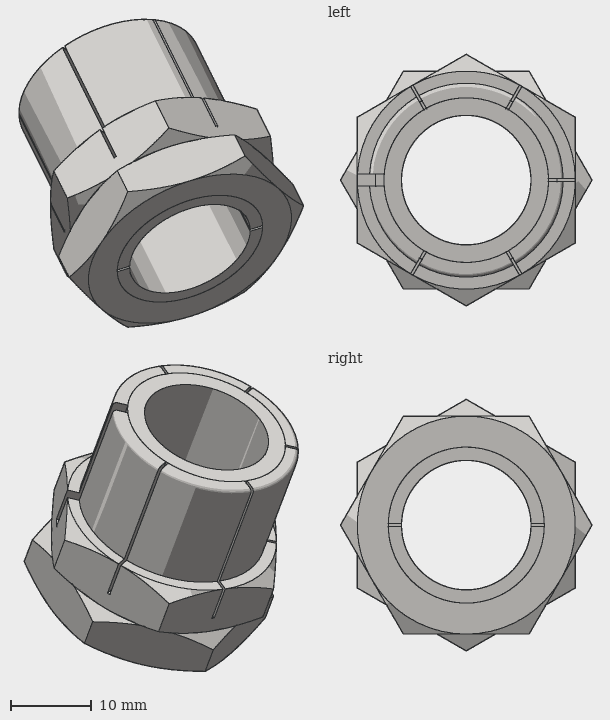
import cadquery as cq
import math

TOTAL_LENGTH = 28.0
BARREL_LENGTH = 15.0
NUT_WIDTH = 6.0
COLLAR_END = TOTAL_LENGTH - NUT_WIDTH

HEX_SIDES = 6
HEX_CORNER_RADIUS = 15.6
HEX_FLAT_RADIUS = HEX_CORNER_RADIUS * math.cos(math.pi / HEX_SIDES)
HEX_CHAMFER_ANGLE = 30.0
HEX_CHAMFER_DEPTH = (HEX_CORNER_RADIUS - HEX_FLAT_RADIUS) * math.tan(math.radians(HEX_CHAMFER_ANGLE))
COLLAR_CORNER_ANGLE = 90.0
NUT_CORNER_ANGLE = 0.0

BARREL_RADIUS = 12.0
BARREL_FILLET = 0.5
SLIT_COUNT = 6
SLIT_WIDTH = 0.35
KEYWAY_WIDTH = 1.5
SLIT_END = 19.8

HUB_RADIUS = 11.25
HUB_START = 17.62

BORE_RADIUS = 8.0
TAPER_FRONT_RADIUS = 10.2
NECK_RADIUS = 9.67
RING_SLIT_START = 13.22


def revolve_about_x(profile):
    """Turn a closed outline of (x, radius) points around the X axis."""
    return cq.Workplane("XY").polyline(profile).close().revolve(360, (0, 0, 0), (1, 0, 0))


def chamfered_hex(start, end, first_corner_angle):
    """Hexagonal prism along X with its corners turned down to the flats at both ends."""
    corners = []
    for i in range(HEX_SIDES):
        angle = math.radians(first_corner_angle + 360 / HEX_SIDES * i)
        corners.append((HEX_CORNER_RADIUS * math.cos(angle), HEX_CORNER_RADIUS * math.sin(angle)))
    prism = cq.Workplane("YZ", origin=(start, 0, 0)).polyline(corners).close().extrude(end - start)
    turned = revolve_about_x([
        (start, 0),
        (start, HEX_FLAT_RADIUS),
        (start + HEX_CHAMFER_DEPTH, HEX_CORNER_RADIUS),
        (end - HEX_CHAMFER_DEPTH, HEX_CORNER_RADIUS),
        (end, HEX_FLAT_RADIUS),
        (end, 0),
    ])
    return prism.intersect(turned)


def radial_slot(width, angle):
    """Cutter from the axis outward, open at the barrel end, at an angle from +Y towards +Z."""
    slot = cq.Workplane("XY").box(SLIT_END, HEX_CORNER_RADIUS, width, centered=(False, False, True))
    return slot.rotate((0, 0, 0), (1, 0, 0), angle)


def make_sleeve():
    barrel = cq.Workplane("YZ").circle(BARREL_RADIUS).extrude(BARREL_LENGTH)
    barrel = barrel.faces("<X").edges().fillet(BARREL_FILLET)
    sleeve = barrel.union(chamfered_hex(BARREL_LENGTH, COLLAR_END, COLLAR_CORNER_ANGLE))
    bore = revolve_about_x([
        (0, 0),
        (0, TAPER_FRONT_RADIUS),
        (HUB_START, NECK_RADIUS),
        (HUB_START, HUB_RADIUS),
        (COLLAR_END, HUB_RADIUS),
        (COLLAR_END, 0),
    ])
    sleeve = sleeve.cut(bore)
    for i in range(SLIT_COUNT):
        width = KEYWAY_WIDTH if i == 0 else SLIT_WIDTH
        sleeve = sleeve.cut(radial_slot(width, i * 360 / SLIT_COUNT))
    return sleeve


def make_inner_ring():
    ring = revolve_about_x([
        (0, BORE_RADIUS),
        (0, TAPER_FRONT_RADIUS),
        (HUB_START, NECK_RADIUS),
        (TOTAL_LENGTH, NECK_RADIUS),
        (TOTAL_LENGTH, BORE_RADIUS),
    ])
    slit_length = TOTAL_LENGTH - RING_SLIT_START
    slits = cq.Workplane("XY").box(slit_length, 2 * HUB_RADIUS, SLIT_WIDTH, centered=(False, True, True))
    return ring.cut(slits.translate((RING_SLIT_START, 0, 0)))


def make_nut():
    hub = cq.Workplane("YZ", origin=(HUB_START, 0, 0)).circle(HUB_RADIUS).extrude(COLLAR_END - HUB_START)
    nut = hub.union(chamfered_hex(COLLAR_END, TOTAL_LENGTH, NUT_CORNER_ANGLE))
    bore = cq.Workplane("YZ").circle(NECK_RADIUS).extrude(TOTAL_LENGTH)
    return nut.cut(bore)


sleeve = make_sleeve()
inner_ring = make_inner_ring()
nut = make_nut()
result = cq.Compound.makeCompound([sleeve.val(), inner_ring.val(), nut.val()])